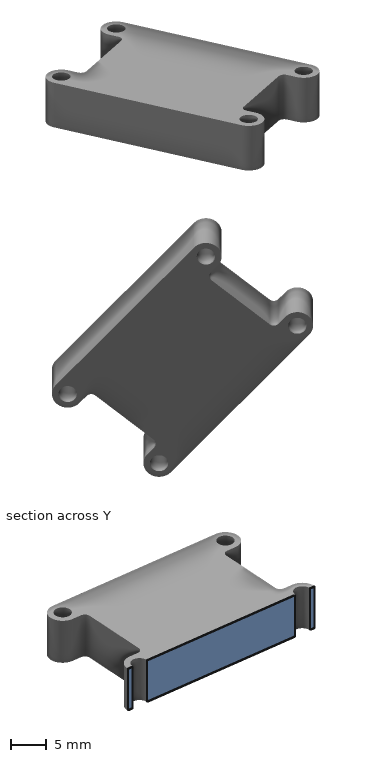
import cadquery as cq

length = 34.0
width = 21.5
height = 7.0

body_length = 24.82
ear_width = 4.42
hole_diameter = 2.6
fillet_radius = 0.9

ear_radius = ear_width / 2
hole_spacing_x = length - ear_width
hole_spacing_y = width - ear_width


def ear_bar(y):
    """Full-length rounded bar forming the two ears at one Y position."""
    return cq.Workplane("XY").center(0, y).slot2D(length, ear_width).extrude(height)


body = cq.Workplane("XY").rect(body_length, width).extrude(height)
for side in (-1, 1):
    body = body.union(ear_bar(side * hole_spacing_y / 2))

inner_corner_y = width / 2 - ear_width
for side_x in (-1, 1):
    for side_y in (-1, 1):
        corner = (side_x * body_length / 2, side_y * inner_corner_y, height / 2)
        body = body.edges(cq.selectors.NearestToPointSelector(corner)).fillet(fillet_radius)

holes = (
    cq.Workplane("XY")
    .rarray(hole_spacing_x, hole_spacing_y, 2, 2)
    .circle(hole_diameter / 2)
    .extrude(height)
)

result = body.cut(holes)